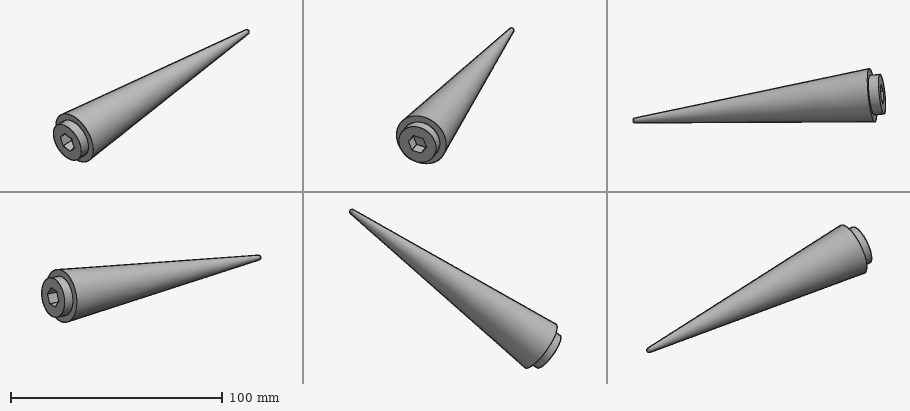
import cadquery as cq
import math

total_length = 120.0
spigot_length = 4.8
tip_length = 1.0

spigot_diameter = 19.0
cone_base_diameter = 25.5
cone_end_diameter = 2.4

socket_across_corners = 9.4
socket_depth = 6.0
socket_turn = 7.5

front_y = -total_length / 2
shoulder_y = front_y + spigot_length
back_y = total_length / 2
cone_end_y = back_y - tip_length

cone_end_radius = cone_end_diameter / 2
dome_radius = (cone_end_radius**2 + tip_length**2) / (2 * tip_length)
dome_center_y = back_y - dome_radius
dome_half_angle = math.asin(cone_end_radius / dome_radius) / 2
dome_middle = (
    dome_radius * math.sin(dome_half_angle),
    dome_center_y + dome_radius * math.cos(dome_half_angle),
)


def make_body():
    """Revolve the spigot, long cone and domed tip about the Y axis."""
    profile = (
        cq.Workplane("XY")
        .moveTo(0, front_y)
        .lineTo(spigot_diameter / 2, front_y)
        .lineTo(spigot_diameter / 2, shoulder_y)
        .lineTo(cone_base_diameter / 2, shoulder_y)
        .lineTo(cone_end_radius, cone_end_y)
        .threePointArc(dome_middle, (0, back_y))
        .close()
    )
    return profile.revolve(360, (0, 0, 0), (0, 1, 0))


def make_socket():
    """Blind hexagonal socket running inward from the spigot face."""
    hexagon = cq.Workplane("XZ", origin=(0, front_y, 0)).polygon(6, socket_across_corners)
    socket = hexagon.extrude(-socket_depth)
    return socket.rotate((0, 0, 0), (0, 1, 0), socket_turn)


result = make_body().cut(make_socket())